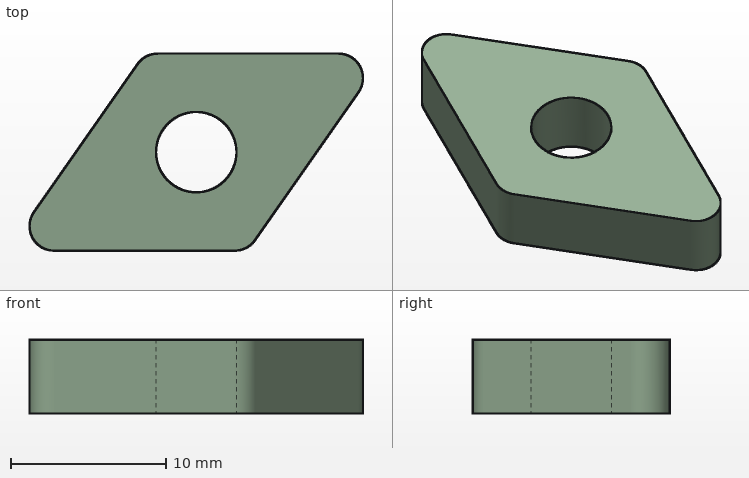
import cadquery as cq
import math

inscribed_diameter = 12.7
acute_angle = math.radians(55)
thickness = 4.76
corner_radius = 1.588
hole_diameter = 5.16

side_length = inscribed_diameter / math.sin(acute_angle)
half_height = inscribed_diameter / 2
slant_run = side_length * math.cos(acute_angle)
acute_corner_x = (side_length + slant_run) / 2
obtuse_corner_x = (side_length - slant_run) / 2


def make_body():
    """Rhombus with two sides along X, extruded along Z, with rounded corners."""
    corners = [
        (-acute_corner_x, -half_height),
        (obtuse_corner_x, -half_height),
        (acute_corner_x, half_height),
        (-obtuse_corner_x, half_height),
    ]
    prism = cq.Workplane("XY").polyline(corners).close().extrude(thickness)
    return prism.edges("|Z").fillet(corner_radius)


def cut_clamping_hole(body):
    """Plain through hole at the centre of the rhombus."""
    return body.faces(">Z").workplane(origin=(0, 0, thickness)).hole(hole_diameter)


result = cut_clamping_hole(make_body())